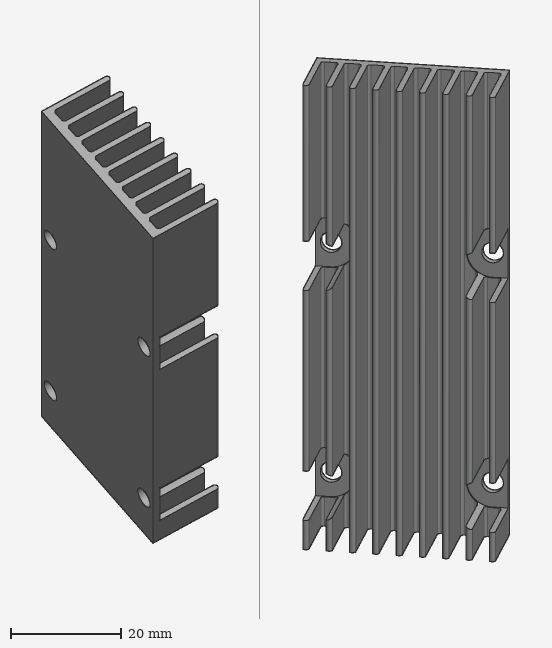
import cadquery as cq

WIDTH = 35.6
DEPTH = 14.65
LENGTH = 89.9
BASE_THICKNESS = 1.9

FIN_COUNT = 9
FIN_THICKNESS = 1.2
FIN_ROOT_RADIUS = 0.58
FIN_PITCH = (WIDTH - FIN_THICKNESS) / (FIN_COUNT - 1)
FIN_GAP = FIN_PITCH - FIN_THICKNESS
TIP_RADIUS = FIN_THICKNESS / 2

HOLE_DIAMETER = 3.95
HOLE_EDGE_DISTANCE = 2.9
LOWER_HOLE_Z = 10.4
HOLE_SPACING_Z = 44.5
POCKET_RADIUS = 4.8
POCKET_FLOOR_Y = 1.5


def make_finned_profile():
    """Extrude the comb-shaped cross-section along the full length."""
    shoulder_y = DEPTH - TIP_RADIUS
    profile = cq.Workplane("XY").moveTo(0, 0).lineTo(0, shoulder_y)
    for index in range(FIN_COUNT):
        left = index * FIN_PITCH
        right = left + FIN_THICKNESS
        profile = profile.threePointArc((left + TIP_RADIUS, DEPTH), (right, shoulder_y))
        if index < FIN_COUNT - 1:
            profile = profile.lineTo(right, BASE_THICKNESS)
            profile = profile.lineTo(right + FIN_GAP, BASE_THICKNESS)
            profile = profile.lineTo(right + FIN_GAP, shoulder_y)
    body = profile.lineTo(WIDTH, 0).close().extrude(LENGTH)
    groove_bottom = cq.selectors.BoxSelector(
        (FIN_THICKNESS / 2, BASE_THICKNESS / 2, 0),
        (WIDTH - FIN_THICKNESS / 2, BASE_THICKNESS * 2, LENGTH),
    )
    return body.edges("|Z").edges(groove_bottom).fillet(FIN_ROOT_RADIUS)


def make_hole(x, z):
    """Through hole in the base, running along Y."""
    return cq.Workplane("XZ", origin=(x, 0, z)).circle(HOLE_DIAMETER / 2).extrude(-DEPTH)


def make_pocket(x, z, side_x):
    """Clearance around a hole: round on the inside, straight and open towards the side face."""
    height = DEPTH - POCKET_FLOOR_Y
    workplane = cq.Workplane("XZ", origin=(x, POCKET_FLOOR_Y, z))
    round_part = workplane.circle(POCKET_RADIUS).extrude(-height)
    run_out = 2 * (side_x - x)
    straight_part = workplane.center(run_out / 2, 0).rect(abs(run_out), 2 * POCKET_RADIUS).extrude(-height)
    return round_part.union(straight_part)


result = make_finned_profile()
for hole_z in (LOWER_HOLE_Z, LOWER_HOLE_Z + HOLE_SPACING_Z):
    for hole_x, side_x in ((HOLE_EDGE_DISTANCE, 0), (WIDTH - HOLE_EDGE_DISTANCE, WIDTH)):
        result = result.cut(make_pocket(hole_x, hole_z, side_x))
        result = result.cut(make_hole(hole_x, hole_z))